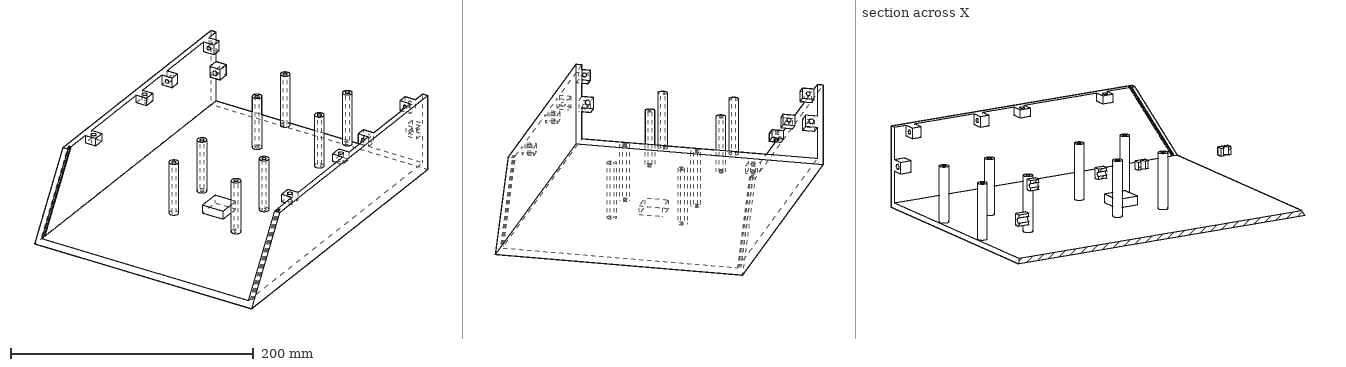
import cadquery as cq

length = 277.5
width = 210.0
height = 70.0
wall = 5.0
slope_run = 44.5
inner_half_width = width / 2 - wall

groove_width = 2.0
groove_depth = 2.0
groove_setback = 3.0

post_diameter = 8.0
post_bore = 3.3
post_height = 48.0
post_spacing = 60.2
post_setbacks = (5.0, 49.0, 136.0, 180.0)

pad_side = 20.0
pad_height = 7.5
pad_center_setback = 158.0

lug_reach = 10.0
screw_hole = 4.2
small_hole = 3.3
back_lug_length = 10.0
back_lug_height = 10.0
back_lug_bottom = 32.2
rail_lug_length = 8.3
rail_lug_height = 9.2
rail_lug_center_setbacks = (15.5, 81.3)
top_lug_length = 10.0
top_lug_height = 7.0
top_lug_center_setbacks = (120.7, 201.0)


def make_tray():
    side_profile = [(0, 0), (length, 0), (length, height), (slope_run, height)]
    body = cq.Workplane("YZ").polyline(side_profile).close().extrude(width / 2, both=True)
    cavity = cq.Workplane("XY").box(2 * inner_half_width, 2 * length, height, centered=(True, True, False))
    return body.cut(cavity.translate((0, 0, wall)))


def make_grooves():
    """Slanted strip, wide enough to reach into both walls, standing on the floor."""
    bottom_y = slope_run * wall / height + groove_setback
    top_y = slope_run + groove_setback
    strip_profile = [
        (bottom_y, wall),
        (bottom_y + groove_width, wall),
        (top_y + groove_width, height),
        (top_y, height),
    ]
    return (
        cq.Workplane("YZ")
        .polyline(strip_profile)
        .close()
        .extrude(inner_half_width + groove_depth, both=True)
    )


def make_posts():
    centers = [(side * post_spacing / 2, length - setback) for side in (-1, 1) for setback in post_setbacks]
    return (
        cq.Workplane("XY", origin=(0, 0, wall))
        .pushPoints(centers)
        .circle(post_diameter / 2)
        .circle(post_bore / 2)
        .extrude(post_height)
    )


def make_pad():
    pad = cq.Workplane("XY").box(pad_side, pad_side, pad_height, centered=(True, True, False))
    return pad.translate((0, length - pad_center_setback, wall))


def make_lug(side, center_setback, bottom, lug_length, lug_height, hole_face, hole_diameter):
    """Block on one wall, drilled through the middle of the named face."""
    lug = (
        cq.Workplane("XY")
        .box(lug_reach, lug_length, lug_height)
        .faces(hole_face)
        .workplane()
        .hole(hole_diameter)
    )
    center_x = side * (inner_half_width - lug_reach / 2)
    return lug.translate((center_x, length - center_setback, bottom + lug_height / 2))


def make_wall_lugs(side):
    lugs = make_lug(
        side, back_lug_length / 2, back_lug_bottom, back_lug_length, back_lug_height, "<Y", screw_hole
    )
    rail_lug_bottom = height - rail_lug_height
    for setback in rail_lug_center_setbacks:
        lugs = lugs.union(
            make_lug(side, setback, rail_lug_bottom, rail_lug_length, rail_lug_height, "<Y", small_hole)
        )
    top_lug_bottom = height - top_lug_height
    for setback in top_lug_center_setbacks:
        lugs = lugs.union(
            make_lug(side, setback, top_lug_bottom, top_lug_length, top_lug_height, ">Z", screw_hole)
        )
    return lugs


result = (
    make_tray()
    .cut(make_grooves())
    .union(make_posts())
    .union(make_pad())
    .union(make_wall_lugs(-1))
    .union(make_wall_lugs(1))
)